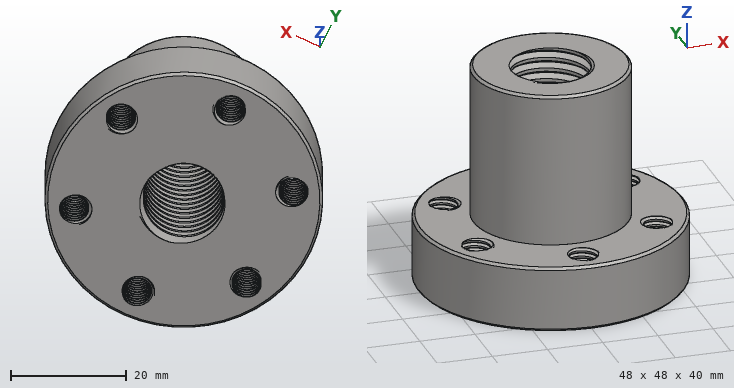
import cadquery as cq
import math

flange_diameter = 48.0
flange_height = 12.0
sleeve_diameter = 28.0
total_height = 40.0
edge_chamfer = 0.5

bore_nominal_diameter = 16.0
bore_root_diameter = 16.25
bore_minor_diameter = 14.0
bore_turns = 20
bore_groove_runs = 2
bore_start_angle = 270.0

hole_count = 6
first_hole_angle = 90.0
hole_circle_diameter = 38.0
hole_nominal_diameter = 6.0
hole_root_diameter = 6.15
hole_minor_diameter = 5.05
hole_turns = 12
hole_groove_runs = 1
hole_start_angle = 180.0

flank_slope = math.tan(math.radians(30.0))
nominal_width_ratio = 1 / 8

groove_overlap_ratio = 1 / 10

bush_wall = 0.7

z_axis = cq.Vector(0, 0, 1)


def make_blank():
    """Flange and sleeve with chamfered outer rims, base on Z = 0."""
    flange = cq.Workplane("XY").circle(flange_diameter / 2).extrude(flange_height)
    flange = flange.edges().chamfer(edge_chamfer)
    sleeve = cq.Workplane("XY").circle(sleeve_diameter / 2).extrude(total_height)
    sleeve = sleeve.faces(">Z").edges().chamfer(edge_chamfer)
    return flange.union(sleeve).val()


def make_groove(nominal_diameter, root_diameter, minor_diameter, pitch, turns):
    """Right-hand helical thread groove around Z, starting on the +X side at Z = 0."""

    def half_width(radius):
        return pitch * nominal_width_ratio / 2 + (nominal_diameter / 2 - radius) * flank_slope

    inner = minor_diameter / 2 - pitch * groove_overlap_ratio
    outer = root_diameter / 2
    section = [
        (inner, -half_width(inner)),
        (outer, -half_width(outer)),
        (outer, half_width(outer)),
        (inner, half_width(inner)),
    ]
    helix = cq.Workplane(cq.Wire.makeHelix(pitch, pitch * turns, minor_diameter / 2))
    return cq.Workplane("XZ").polyline(section).close().sweep(helix, isFrenet=True).val()


def cut_thread(body, nominal_diameter, root_diameter, minor_diameter, depth, turns, runs, start_angle):
    """Threaded hole along the axis of a round body, from Z = 0 up to the depth.

    The groove goes one turn past both ends and is cut as equal runs, end to end.
    It has to be cut before the hole is drilled: the other order leaves no groove.
    The body is turned last, so the groove still starts on the seam of the drill, which keeps
    the cut clean.
    """
    pitch = depth / turns
    run_turns = (turns + 2) / runs
    run = make_groove(nominal_diameter, root_diameter, minor_diameter, pitch, run_turns)
    groove = [run.translate(z_axis * pitch * (index * run_turns - 1)) for index in range(runs)]
    drill = cq.Solid.makeCylinder(minor_diameter / 2, depth)
    return body.cut(*groove).cut(drill).rotate(cq.Vector(), z_axis, start_angle)


def cut_centre_thread(body):
    return cut_thread(
        body,
        bore_nominal_diameter,
        bore_root_diameter,
        bore_minor_diameter,
        total_height,
        bore_turns,
        bore_groove_runs,
        bore_start_angle,
    )


def cut_mounting_threads(body):
    """Thread one bush and set a copy of it into the flange at each place on the circle.

    Every copy is turned with its place, so all threads start towards the centre.
    """
    seat = cq.Solid.makeCylinder(hole_root_diameter / 2 + bush_wall, flange_height)
    bush = cut_thread(
        seat,
        hole_nominal_diameter,
        hole_root_diameter,
        hole_minor_diameter,
        flange_height,
        hole_turns,
        hole_groove_runs,
        hole_start_angle,
    )
    to_circle = cq.Location(cq.Vector(hole_circle_diameter / 2, 0, 0))
    places = []
    for index in range(hole_count):
        angle = first_hole_angle + index * 360 / hole_count
        places.append(cq.Location(cq.Vector(), z_axis, angle) * to_circle)
    body = body.cut(*[seat.moved(place) for place in places])
    return body.fuse(*[bush.moved(place) for place in places]).clean()


result = cq.Workplane(cut_mounting_threads(cut_centre_thread(make_blank())))